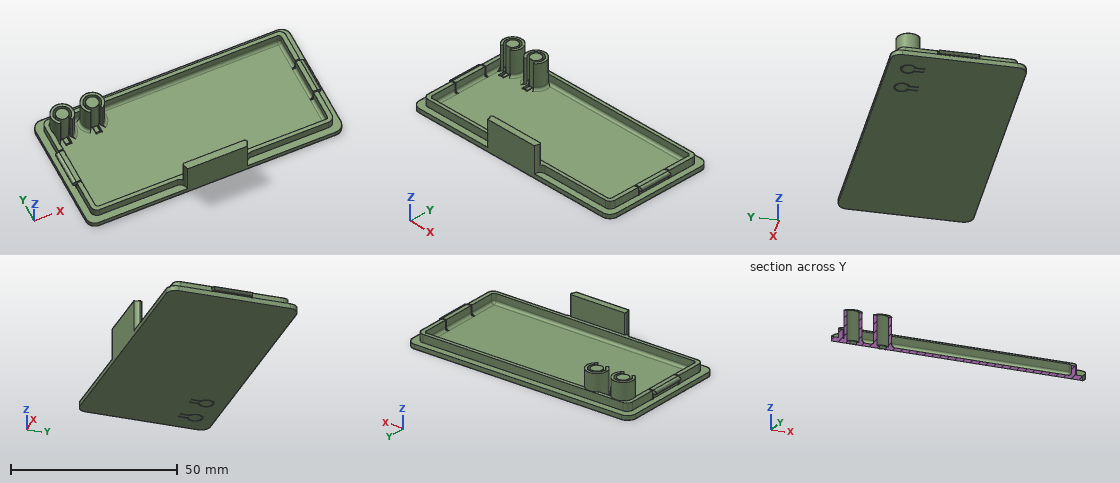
import cadquery as cq
import math

LENGTH = 84.5
WIDTH = 41.5
HEIGHT = 11.75
BASE_THICKNESS = 1.6
BASE_CORNER = 3.0
FLOOR_Z = 1.0

WALL_LENGTH = 79.9
WALL_WIDTH = 36.7
WALL_TOP = 4.4
WALL_CORNER = 2.0
TRAY_LENGTH = 76.9
TRAY_WIDTH = 34.05
TRAY_CORNER = 1.0
FOOT_RADIUS = 1.0

CLIP_WIDTH = 12.2
CLIP_SLIT = 0.4
HOOK_REACH = 1.2
HOOK_ROOT = 0.3
HOOK_UNDERCUT = 0.4
HOOK_BOTTOM = 2.95
HOOK_TIP_LOW = 3.4
HOOK_TIP_HIGH = 4.0
HOOK_ROUNDING = 0.4

TAB_FRONT_HALF = 10.0
TAB_BACK_HALF = 10.2
TAB_SHOULDER_HALF = 10.65
TAB_SHOULDER_DEPTH = 0.8
TAB_COVE_HALF = 12.2

BUTTON_PITCH = 10.0
BUTTON_X = -35.0
BUTTON_Y = 14.45
BUTTON_TOP = 10.5
RING_RADIUS = 3.7
RING_FOOT_RADIUS = 0.9
BORE_RADIUS = 2.8
HOLE_RADIUS = 2.3
PIN_RADIUS = 2.0
RING_OPENING_ANGLE = 66.0
TONGUE_WIDTH = 1.5
TONGUE_SLIT = 0.25
TONGUE_REACH = 4.9
TONGUE_THICKNESS = 0.5
HINGE_LENGTH = 0.8


def rounded_block(length, width, corner, bottom, top):
    block = cq.Workplane("XY").workplane(offset=bottom).rect(length, width).extrude(top - bottom)
    return block.edges("|Z").fillet(corner)


def cylinder(radius, bottom, top):
    return cq.Workplane("XY").workplane(offset=bottom).circle(radius).extrude(top - bottom)


def make_tray():
    base = rounded_block(LENGTH, WIDTH, BASE_CORNER, 0, BASE_THICKNESS)
    wall = rounded_block(WALL_LENGTH, WALL_WIDTH, WALL_CORNER, 0, WALL_TOP)
    pocket = rounded_block(TRAY_LENGTH, TRAY_WIDTH, TRAY_CORNER, FLOOR_Z, HEIGHT)
    pocket = pocket.faces("<Z").edges().fillet(FOOT_RADIUS)
    return base.union(wall).cut(pocket)


def make_tab():
    front = -WIDTH / 2
    back = -WALL_WIDTH / 2
    shoulder_y = back - TAB_SHOULDER_DEPTH

    flared = (
        cq.Workplane("XY")
        .moveTo(-TAB_FRONT_HALF, front)
        .lineTo(TAB_FRONT_HALF, front)
        .threePointArc((TAB_SHOULDER_HALF, shoulder_y), (TAB_COVE_HALF, back))
        .lineTo(-TAB_COVE_HALF, back)
        .threePointArc((-TAB_SHOULDER_HALF, shoulder_y), (-TAB_FRONT_HALF, front))
        .close()
        .extrude(HEIGHT)
    )

    limits = (
        cq.Workplane("XY")
        .workplane(offset=WALL_TOP)
        .moveTo(-TAB_SHOULDER_HALF, front)
        .lineTo(TAB_SHOULDER_HALF, front)
        .lineTo(TAB_SHOULDER_HALF, shoulder_y)
        .lineTo(TAB_BACK_HALF, back)
        .lineTo(-TAB_BACK_HALF, back)
        .lineTo(-TAB_SHOULDER_HALF, shoulder_y)
        .close()
        .extrude(HEIGHT - WALL_TOP)
    )
    below = cq.Workplane("XY").rect(LENGTH, WIDTH).extrude(WALL_TOP)
    return flared.intersect(below.union(limits))


def make_hook():
    wall_x = WALL_LENGTH / 2
    tip_x = wall_x + HOOK_REACH
    inside_x = wall_x - HOOK_ROOT
    profile = [
        (inside_x, HOOK_BOTTOM),
        (tip_x - HOOK_UNDERCUT, HOOK_BOTTOM),
        (tip_x, HOOK_TIP_LOW),
        (tip_x, HOOK_TIP_HIGH),
        (wall_x, WALL_TOP),
        (inside_x, WALL_TOP),
    ]
    hook = cq.Workplane("XZ").polyline(profile).close().extrude(CLIP_WIDTH / 2, both=True)
    return hook.edges("|Y and >X").fillet(HOOK_ROUNDING)


def make_clip_slits():
    inner_x = TRAY_LENGTH / 2 - FOOT_RADIUS
    slit_length = WALL_LENGTH / 2 - inner_x
    slit_y = (CLIP_WIDTH + CLIP_SLIT) / 2
    return (
        cq.Workplane("XY")
        .workplane(offset=FLOOR_Z)
        .pushPoints([(inner_x + slit_length / 2, slit_y), (inner_x + slit_length / 2, -slit_y)])
        .rect(slit_length, CLIP_SLIT)
        .extrude(HEIGHT)
    )


def make_guard_ring():
    foot_outer = RING_RADIUS + RING_FOOT_RADIUS
    foot_top = FLOOR_Z + RING_FOOT_RADIUS
    inset = RING_FOOT_RADIUS * math.sqrt(0.5)
    ring = (
        cq.Workplane("XZ")
        .moveTo(BORE_RADIUS, 0)
        .lineTo(foot_outer, 0)
        .lineTo(foot_outer, FLOOR_Z)
        .threePointArc((foot_outer - inset, foot_top - inset), (RING_RADIUS, foot_top))
        .lineTo(RING_RADIUS, BUTTON_TOP)
        .lineTo(BORE_RADIUS, BUTTON_TOP)
        .close()
        .revolve(360, (0, 0, 0), (0, 1, 0))
    )
    opening_depth = 2 * foot_outer
    opening_half = opening_depth * math.tan(math.radians(RING_OPENING_ANGLE / 2))
    opening = (
        cq.Workplane("XY")
        .workplane(offset=FLOOR_Z)
        .polyline([(0, 0), (opening_half, -opening_depth), (-opening_half, -opening_depth)])
        .close()
        .extrude(HEIGHT)
    )
    return ring.cut(opening)


def make_tongue_opening():
    opening_width = TONGUE_WIDTH + 2 * TONGUE_SLIT
    return (
        cq.Workplane("XY")
        .center(0, -TONGUE_REACH / 2)
        .rect(opening_width, TONGUE_REACH)
        .extrude(FLOOR_Z)
    )


def make_tongue():
    profile = [
        (0, 0),
        (0, TONGUE_THICKNESS),
        (HINGE_LENGTH - TONGUE_REACH, TONGUE_THICKNESS),
        (-TONGUE_REACH, FLOOR_Z),
        (-TONGUE_REACH, 0),
    ]
    return cq.Workplane("YZ").polyline(profile).close().extrude(TONGUE_WIDTH / 2, both=True)


def add_button(body, x):
    place = cq.Vector(x, BUTTON_Y, 0)
    bore = cylinder(BORE_RADIUS, FLOOR_Z, HEIGHT)
    hole = cylinder(HOLE_RADIUS, 0, FLOOR_Z)
    pin = cylinder(PIN_RADIUS, 0, BUTTON_TOP)
    body = body.union(make_guard_ring().translate(place))
    body = body.cut(bore.union(hole).union(make_tongue_opening()).translate(place))
    return body.union(make_tongue().union(pin).translate(place))


result = make_tray().union(make_tab())

for turn in (0, 180):
    result = result.union(make_hook().rotate((0, 0, 0), (0, 0, 1), turn))
    result = result.cut(make_clip_slits().rotate((0, 0, 0), (0, 0, 1), turn))

for index in range(2):
    result = add_button(result, BUTTON_X + index * BUTTON_PITCH)